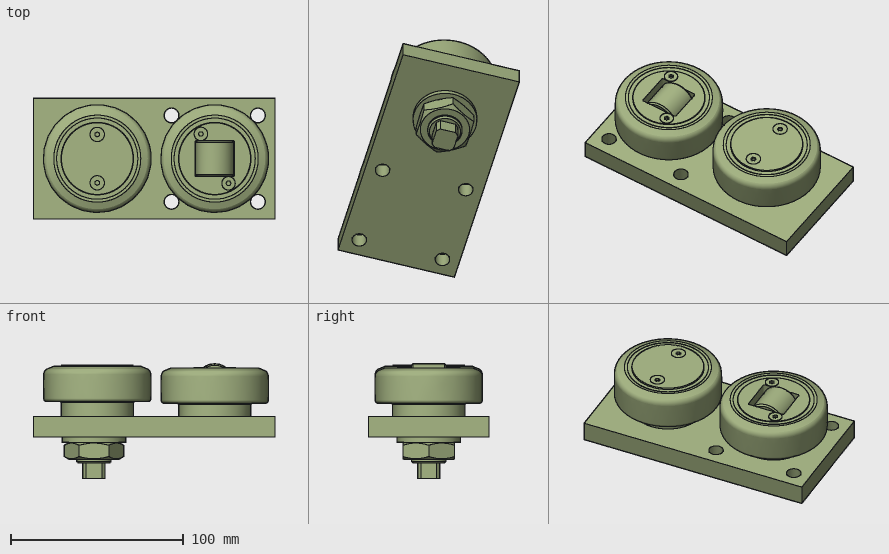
import cadquery as cq
import math

PLATE_LENGTH = 140.0
PLATE_WIDTH = 70.0
PLATE_THICKNESS = 12.0
MOUNT_HOLE_DIAMETER = 8.4
MOUNT_HOLE_PITCH = 50.0

LEFT_X = -33.0
RIGHT_X = 35.0
LEFT_TOP = 41.07
TOP_STEP = 1.0
RIGHT_TOP = LEFT_TOP - TOP_STEP

RING_HEIGHT = 20.55
RING_MID_RADIUS = 31.25
RING_EDGE_RADIUS = 31.08
TOP_FACE_RADIUS = 25.2
CONE_END_RADIUS = 29.4
CONE_DEPTH = 1.7
CROWN_START_DEPTH = 4.8
CROWN_END_DEPTH = 18.8
BOTTOM_ROUND = RING_HEIGHT - CROWN_END_DEPTH
SEAL_DIAMETER = 47.0
SEAL_RECESS = 0.25

NECK_DIAMETER = 42.0
COLLAR_DIAMETER = 42.97
COLLAR_HEIGHT = 0.6
CAP_DIAMETER = 41.5
LEFT_CAP_RISE = 0.53

SOCKET_FLATS = 2.5
SOCKET_DEPTH = 1.5
LEFT_SOCKET_TURN = 30.0
RIGHT_SOCKET_TURN = 0.0
LEFT_SCREW_DIAMETER = 8.3
LEFT_SCREW_SPACING = 28.0
LEFT_SCREW_RECESS = 0.1
RIGHT_SCREW_DIAMETER = 7.8
RIGHT_SCREW_OFFSET_X = 8.0
RIGHT_SCREW_OFFSET_Y = 14.3
RIGHT_SCREW_RISE = 0.25

ROLLER_TOP = 42.49
ROLLER_DIAMETER = 22.0
ROLLER_LENGTH = 20.2
ROLLER_CHAMFER = 0.9
POCKET_LENGTH = 22.8
POCKET_WIDTH = 20.8
POCKET_CORNER_RADIUS = 0.8

STUD_ECCENTRICITY = 1.9
STUD_X = LEFT_X - STUD_ECCENTRICITY
WASHER_DIAMETER = 37.0
WASHER_THICKNESS = 3.0
NUT_FLATS = 30.0
NUT_HEIGHT = 10.0
NUT_FACE_DIAMETER = 28.5
NUT_CHAMFER_ANGLE = 30.0
THREAD_DIAMETER = 20.0
THREAD_END_Z = -15.1
THREAD_CHAMFER = 1.0
SQUARE_SIZE = 13.0
SQUARE_CORNER_CHAMFER = 1.9
SQUARE_END_Z = -24.0


def disc(x, bottom, top, diameter):
    return (
        cq.Workplane("XY", origin=(x, 0, bottom))
        .circle(diameter / 2)
        .extrude(top - bottom)
    )


def hex_across_corners(across_flats):
    return across_flats / math.cos(math.pi / 6)


def make_plate():
    plate = cq.Workplane("XY").box(
        PLATE_LENGTH, PLATE_WIDTH, PLATE_THICKNESS, centered=(True, True, False)
    )
    holes = (
        cq.Workplane("XY", origin=(RIGHT_X, 0, 0))
        .rect(MOUNT_HOLE_PITCH, MOUNT_HOLE_PITCH, forConstruction=True)
        .vertices()
        .circle(MOUNT_HOLE_DIAMETER / 2)
        .extrude(PLATE_THICKNESS)
    )
    return plate.cut(holes)


def make_bearing(x, top, cap_top):
    """Crowned outer ring, neck and cap, with a shallow seal ring around the cap."""
    bottom = top - RING_HEIGHT
    profile = (
        cq.Workplane("XZ")
        .moveTo(0, PLATE_THICKNESS)
        .lineTo(NECK_DIAMETER / 2, PLATE_THICKNESS)
        .lineTo(NECK_DIAMETER / 2, bottom - COLLAR_HEIGHT)
        .lineTo(COLLAR_DIAMETER / 2, bottom)
        .lineTo(RING_EDGE_RADIUS - BOTTOM_ROUND, bottom)
        .tangentArcPoint((RING_EDGE_RADIUS, top - CROWN_END_DEPTH), relative=False)
        .threePointArc(
            (RING_MID_RADIUS, top - (CROWN_START_DEPTH + CROWN_END_DEPTH) / 2),
            (RING_EDGE_RADIUS, top - CROWN_START_DEPTH),
        )
        .tangentArcPoint((CONE_END_RADIUS, top - CONE_DEPTH), relative=False)
        .lineTo(TOP_FACE_RADIUS, top)
        .lineTo(SEAL_DIAMETER / 2, top)
        .lineTo(SEAL_DIAMETER / 2, top - SEAL_RECESS)
        .lineTo(NECK_DIAMETER / 2, top - SEAL_RECESS)
        .lineTo(CAP_DIAMETER / 2, cap_top)
        .lineTo(0, cap_top)
        .close()
    )
    return profile.revolve(360, (0, 0, 0), (0, 1, 0)).translate((x, 0, 0))


def hex_sockets(points, z, rotation):
    """Hexagonal blind sockets opening upwards at height z, turned by rotation degrees."""
    across_corners = hex_across_corners(SOCKET_FLATS)
    sockets = cq.Workplane("XY")
    for x, y in points:
        socket = (
            cq.Workplane("XY")
            .polygon(6, across_corners)
            .extrude(-SOCKET_DEPTH)
            .rotate((0, 0, 0), (0, 0, 1), rotation)
        )
        sockets = sockets.add(socket.translate((x, y, z)))
    return sockets.combine()


def make_left_bearing():
    cap_top = LEFT_TOP + LEFT_CAP_RISE
    head_top = cap_top - LEFT_SCREW_RECESS
    points = [(LEFT_X, side * LEFT_SCREW_SPACING / 2) for side in (-1, 1)]
    recesses = (
        cq.Workplane("XY", origin=(0, 0, head_top))
        .pushPoints(points)
        .circle(LEFT_SCREW_DIAMETER / 2)
        .extrude(LEFT_SCREW_RECESS)
    )
    bearing = make_bearing(LEFT_X, LEFT_TOP, cap_top).cut(recesses)
    return bearing.cut(hex_sockets(points, head_top, LEFT_SOCKET_TURN))


def make_roller(axis_z):
    """Roller with chamfered ends, half sunk into the pocket floor."""
    return (
        cq.Workplane("XZ", origin=(RIGHT_X, ROLLER_LENGTH / 2, axis_z))
        .circle(ROLLER_DIAMETER / 2)
        .extrude(ROLLER_LENGTH)
        .faces("|Y")
        .edges()
        .chamfer(ROLLER_CHAMFER)
    )


def make_right_bearing():
    roller_axis_z = ROLLER_TOP - ROLLER_DIAMETER / 2
    pocket = (
        cq.Workplane("XY", origin=(RIGHT_X, 0, roller_axis_z))
        .rect(POCKET_LENGTH, POCKET_WIDTH)
        .extrude(RIGHT_TOP - roller_axis_z)
        .edges("|Z")
        .fillet(POCKET_CORNER_RADIUS)
    )
    points = [
        (RIGHT_X - side * RIGHT_SCREW_OFFSET_X, side * RIGHT_SCREW_OFFSET_Y)
        for side in (-1, 1)
    ]
    head_top = RIGHT_TOP + RIGHT_SCREW_RISE
    heads = (
        cq.Workplane("XY", origin=(0, 0, RIGHT_TOP - SOCKET_DEPTH))
        .pushPoints(points)
        .circle(RIGHT_SCREW_DIAMETER / 2)
        .extrude(SOCKET_DEPTH + RIGHT_SCREW_RISE)
    )
    bearing = make_bearing(RIGHT_X, RIGHT_TOP, RIGHT_TOP).cut(pocket)
    bearing = bearing.union(make_roller(roller_axis_z)).union(heads)
    return bearing.cut(hex_sockets(points, head_top, RIGHT_SOCKET_TURN))


def make_nut(top):
    """Hexagon with both ends trimmed by a cone, two flats facing -Y and +Y."""
    bottom = top - NUT_HEIGHT
    across_corners = hex_across_corners(NUT_FLATS)
    corner_chamfer = (across_corners - NUT_FACE_DIAMETER) / 2
    chamfer_height = corner_chamfer * math.tan(math.radians(NUT_CHAMFER_ANGLE))
    hexagon = (
        cq.Workplane("XY", origin=(STUD_X, 0, bottom))
        .polygon(6, across_corners)
        .extrude(NUT_HEIGHT)
    )
    trim = (
        disc(STUD_X, bottom, top, across_corners)
        .faces("|Z")
        .edges()
        .chamfer(chamfer_height, corner_chamfer)
    )
    return hexagon.intersect(trim)


def make_stud():
    nut_top = -WASHER_THICKNESS
    washer = disc(STUD_X, nut_top, 0, WASHER_DIAMETER)
    thread = disc(STUD_X, THREAD_END_Z, 0, THREAD_DIAMETER)
    thread = thread.faces("<Z").edges().chamfer(THREAD_CHAMFER)
    square = (
        cq.Workplane("XY", origin=(STUD_X, 0, SQUARE_END_Z))
        .rect(SQUARE_SIZE, SQUARE_SIZE)
        .extrude(-SQUARE_END_Z)
        .edges("|Z")
        .chamfer(SQUARE_CORNER_CHAMFER)
    )
    return washer.union(make_nut(nut_top)).union(thread).union(square)


result = (
    make_plate()
    .union(make_left_bearing())
    .union(make_right_bearing())
    .union(make_stud())
)